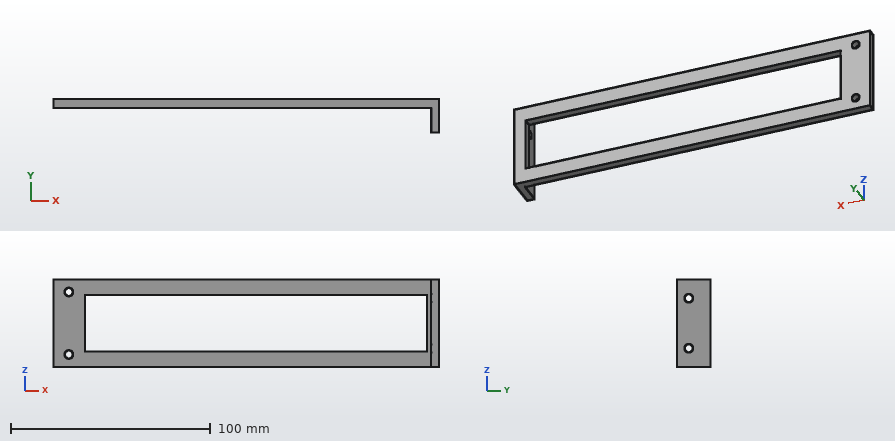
import cadquery as cq

length = 193.0
depth = 17.0
height = 44.0

plate_thickness = 4.6
flange_thickness = 4.0

rail_height = 8.0
window_start = 15.8
window_end = 186.8

hole_diameter = 4.0
plate_hole_x = 7.7
plate_hole_spacing = 31.3
flange_hole_setback = 6.0
flange_hole_spacing = 25.0

mid_height = height / 2
overcut = 2.0


def block(x_start, x_end, y_start, y_end, z_start, z_end):
    """Box spanning the given limits along each axis."""
    size = (x_end - x_start, y_end - y_start, z_end - z_start)
    return cq.Workplane("XY").box(*size, centered=False).translate((x_start, y_start, z_start))


def hole_pair(plane, across, spacing, start, end):
    """Two cylinders, one above the other, running from start to end along the plane normal."""
    centers = [(across, mid_height - spacing / 2), (across, mid_height + spacing / 2)]
    return (
        cq.Workplane(plane)
        .workplane(offset=start)
        .pushPoints(centers)
        .circle(hole_diameter / 2)
        .extrude(end - start)
    )


plate_front = depth - plate_thickness
flange_inner = length - flange_thickness
plate = block(0, length, plate_front, depth, 0, height)
flange = block(flange_inner, length, 0, depth, 0, height)
body = plate.union(flange)

window = block(
    window_start, window_end,
    plate_front - overcut, depth + overcut,
    rail_height, height - rail_height,
)

plate_holes = hole_pair(
    "XZ", plate_hole_x, plate_hole_spacing, -depth - overcut, -plate_front + overcut
)
flange_holes = hole_pair(
    "YZ", flange_hole_setback, flange_hole_spacing, flange_inner - overcut, length + overcut
)

result = body.cut(window).cut(plate_holes).cut(flange_holes)